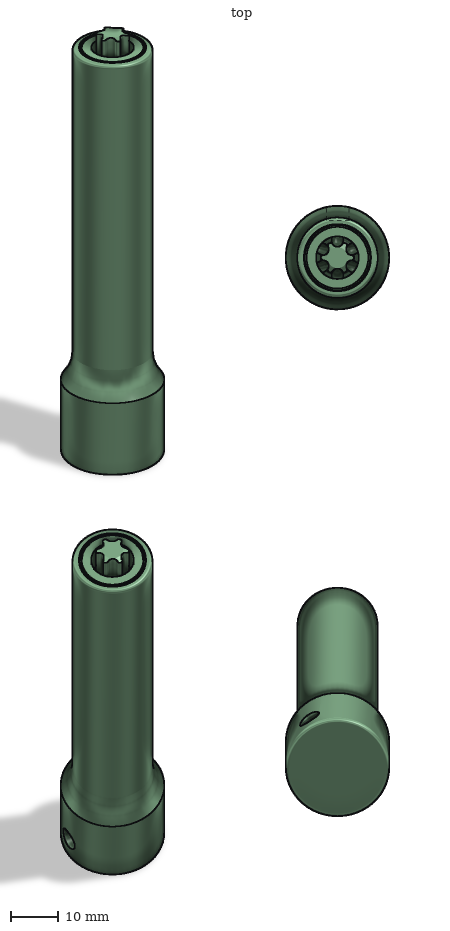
import cadquery as cq
import math

total_height = 100.3

base_diameter = 22.0
base_height = 17.5
neck_end_height = 24.1
tube_radius = 8.5
tube_top = 96.8
housing_edge_fillet = 0.8
bore_radius = 7.1
bore_depth = 12.0

detent_radius = 2.4
detent_height = 6.0
detent_depth = 3.0

sleeve_collar_radius = 6.5
ring_inner_radius = 6.9
ring_height = 1.0

shank_radius = 4.5
shoulder_depth = 5.0
lobe_count = 6
lobe_tip_radius = 3.5
lobe_round_radius = 0.55
groove_floor_radius = 2.3
crown_flat_radius = 2.2
crown_drop = 0.4
lobe_flare = 0.4
runout_radius = 4.1

base_radius = base_diameter / 2
bore_floor = tube_top - bore_depth
shoulder_height = tube_top - shoulder_depth
ring_bottom = tube_top - ring_height

lobe_pitch = 360.0 / lobe_count
half_pitch = math.radians(lobe_pitch / 2)
lobe_centre_radius = lobe_tip_radius - lobe_round_radius
tangent_reach = groove_floor_radius - lobe_round_radius
groove_centre_radius = (lobe_centre_radius ** 2 - tangent_reach ** 2) / (
    2 * (lobe_centre_radius * math.cos(half_pitch) - tangent_reach)
)
groove_arc_radius = groove_centre_radius - groove_floor_radius
tangent_share = groove_arc_radius / (groove_arc_radius + lobe_round_radius)
groove_half_width = tangent_share * lobe_centre_radius * math.sin(half_pitch)
groove_edge_radius = groove_centre_radius - tangent_share * (
    groove_centre_radius - lobe_centre_radius * math.cos(half_pitch)
)


def polar(radius, angle):
    """Point at a radius and an angle in radians from +X."""
    return (radius * math.cos(angle), radius * math.sin(angle))


def cylinder(radius, bottom, top):
    return cq.Workplane("XY").workplane(offset=bottom).circle(radius).extrude(top - bottom)


def make_housing():
    """Turned tube with a wide drive end, a bore at the top and a detent hole."""
    flare_width = base_radius - tube_radius
    flare_height = neck_end_height - base_height
    flare_radius = (flare_width ** 2 + flare_height ** 2) / (2 * flare_width)
    flare_half_angle = math.asin(flare_height / flare_radius) / 2
    flare_middle = (
        tube_radius + flare_radius * (1 - math.cos(flare_half_angle)),
        neck_end_height - flare_radius * math.sin(flare_half_angle),
    )
    body = (
        cq.Workplane("XZ")
        .lineTo(base_radius, 0)
        .lineTo(base_radius, base_height)
        .threePointArc(flare_middle, (tube_radius, neck_end_height))
        .lineTo(tube_radius, tube_top)
        .lineTo(0, tube_top)
        .close()
        .revolve(360, (0, 0, 0), (0, 1, 0))
        .faces("<Z or >Z")
        .edges()
        .fillet(housing_edge_fillet)
    )
    detent = (
        cq.Workplane("XZ", origin=(0, base_radius, detent_height))
        .circle(detent_radius)
        .extrude(detent_depth)
    )
    return body.cut(cylinder(bore_radius, bore_floor, tube_top)).cut(detent)


def make_sleeve():
    """Bushing that fills the bore and steps in at the top to leave room for the ring."""
    collar = cylinder(sleeve_collar_radius, ring_bottom, tube_top)
    hole = cylinder(shank_radius, bore_floor, tube_top)
    return cylinder(bore_radius, bore_floor, ring_bottom).union(collar).cut(hole)


def make_ring():
    """Retaining ring on the sleeve's step, against the bore wall and clear of the collar."""
    ring = cylinder(bore_radius, ring_bottom, tube_top)
    return ring.cut(cylinder(ring_inner_radius, ring_bottom, tube_top))


def star_outline():
    """Closed star of rounded lobes joined by tangent concave grooves, first lobe on +X."""
    edge_angle = half_pitch - math.atan2(groove_half_width, groove_edge_radius)
    edge_radius = math.hypot(groove_half_width, groove_edge_radius)
    outline = cq.Workplane("XY").workplane(offset=shoulder_height)
    outline = outline.moveTo(*polar(edge_radius, -edge_angle))
    for index in range(lobe_count):
        lobe_angle = 2 * half_pitch * index
        next_lobe_angle = lobe_angle + 2 * half_pitch
        outline = outline.threePointArc(
            polar(lobe_tip_radius, lobe_angle), polar(edge_radius, lobe_angle + edge_angle)
        ).threePointArc(
            polar(groove_floor_radius, lobe_angle + half_pitch),
            polar(edge_radius, next_lobe_angle - edge_angle),
        )
    return outline.close()


def groove_section(plane, origin, floor, arc_centre, open_end):
    """Round-bottomed groove section whose straight sides end at its open end."""
    return (
        cq.Workplane(plane, origin=origin)
        .moveTo(open_end, -groove_arc_radius)
        .lineTo(arc_centre, -groove_arc_radius)
        .threePointArc((floor, 0), (arc_centre, groove_arc_radius))
        .lineTo(open_end, groove_arc_radius)
        .close()
    )


def make_groove_runout():
    """Lower end of the groove on +X, curving outward until it leaves the shank radially."""
    turn_height = shoulder_height + runout_radius - groove_centre_radius
    bend = groove_section(
        "XY", (0, 0, turn_height), groove_floor_radius, groove_centre_radius, runout_radius
    ).revolve(90, (runout_radius, 1, 0), (runout_radius, 0, 0))
    exit_floor = shoulder_height - groove_arc_radius
    exit_channel = groove_section(
        "ZY", (shank_radius, 0, 0), exit_floor, shoulder_height, turn_height
    ).extrude(shank_radius - runout_radius)
    return bend.union(exit_channel)


def make_bit():
    """Star bit with a conical crown, on a round shank that the grooves run out into."""
    crown_envelope = (
        cq.Workplane("XZ")
        .moveTo(0, shoulder_height)
        .lineTo(lobe_tip_radius, shoulder_height)
        .lineTo(lobe_tip_radius, total_height - crown_drop)
        .lineTo(crown_flat_radius, total_height)
        .lineTo(0, total_height)
        .close()
        .revolve(360, (0, 0, 0), (0, 1, 0))
    )
    star = star_outline().extrude(total_height - shoulder_height).intersect(crown_envelope)
    flare_start = shoulder_height + lobe_flare
    flare_foot = lobe_tip_radius + lobe_flare
    flare_sag = lobe_flare * (1 - math.sqrt(0.5))
    shank = (
        cq.Workplane("XZ")
        .moveTo(0, bore_floor)
        .lineTo(shank_radius, bore_floor)
        .lineTo(shank_radius, shoulder_height)
        .lineTo(flare_foot, shoulder_height)
        .threePointArc(
            (lobe_tip_radius + flare_sag, shoulder_height + flare_sag),
            (lobe_tip_radius, flare_start),
        )
        .lineTo(0, flare_start)
        .close()
        .revolve(360, (0, 0, 0), (0, 1, 0))
    )
    bit = shank.union(star)
    runout = make_groove_runout()
    for index in range(lobe_count):
        turn = lobe_pitch * (index + 0.5)
        bit = bit.cut(runout.rotate((0, 0, 0), (0, 0, 1), turn))
    return bit


housing = make_housing()
sleeve = make_sleeve()
ring = make_ring()
bit = make_bit()

bodies = [housing, sleeve, ring, bit]
result = cq.Compound.makeCompound([body.solids().val() for body in bodies])